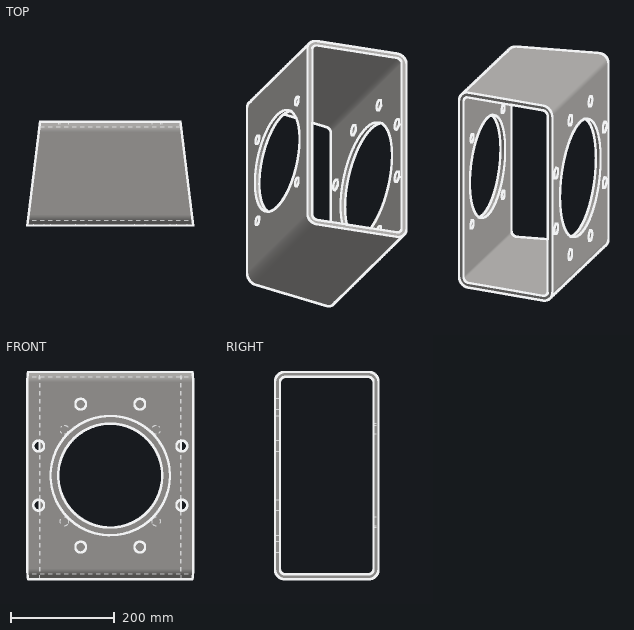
import cadquery as cq

depth = 200.0
height = 400.0
wall = 10.0
outer_radius = 20.0
inner_radius = outer_radius - wall

front_width = 320.0
back_width = 271.0

front_bore = 230.0
front_bolt_circle = 298.0
front_bolt_hole = 21.0
front_bolt_count = 8
back_bore = 200.0
back_bolt_circle = 250.0
back_bolt_hole = 17.0
back_bolt_count = 4


def tube():
    """Rounded rectangular tube, as long as the widest face."""
    outer = (
        cq.Workplane("XY")
        .box(front_width, depth, height)
        .edges("|X")
        .fillet(outer_radius)
    )
    inner = (
        cq.Workplane("XY")
        .box(front_width, depth - 2 * wall, height - 2 * wall)
        .edges("|X")
        .fillet(inner_radius)
    )
    return outer.cut(inner)


def taper_envelope():
    """Trapezoidal prism that trims both open ends of the tube."""
    return (
        cq.Workplane("XY")
        .polyline([
            (-front_width / 2, -depth / 2),
            (front_width / 2, -depth / 2),
            (back_width / 2, depth / 2),
            (-back_width / 2, depth / 2),
        ])
        .close()
        .extrude(height / 2, both=True)
    )


def wall_openings(outer_y, bore, bolt_circle, bolt_hole, bolt_count):
    """Cutter for a bore and its ring of bolt holes, reaching mid-depth from outer_y."""
    half_pitch = 180.0 / bolt_count
    ring = (
        cq.Workplane("XZ")
        .polarArray(bolt_circle / 2, half_pitch, 360, bolt_count)
        .circle(bolt_hole / 2)
        .extrude(-outer_y)
    )
    return cq.Workplane("XZ").circle(bore / 2).extrude(-outer_y).union(ring)


result = (
    tube()
    .intersect(taper_envelope())
    .cut(wall_openings(-depth / 2, front_bore, front_bolt_circle, front_bolt_hole, front_bolt_count))
    .cut(wall_openings(depth / 2, back_bore, back_bolt_circle, back_bolt_hole, back_bolt_count))
)